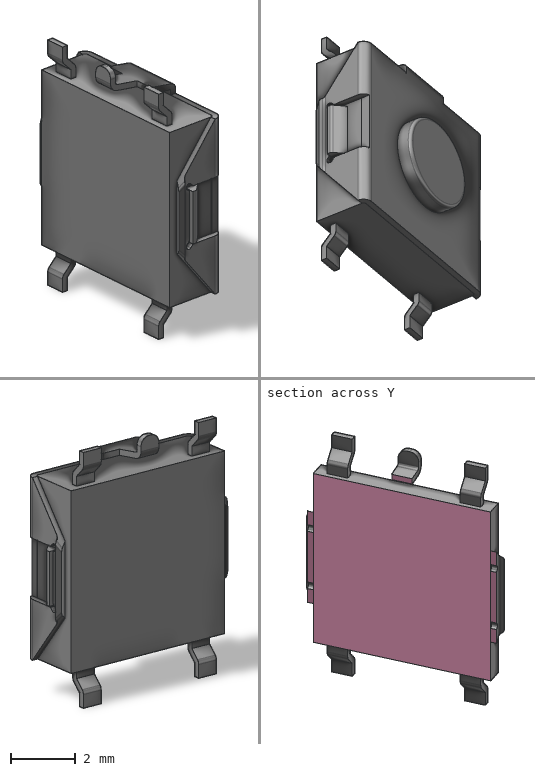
import cadquery as cq
import math


HOUSING_SIZE = 6.0
HOUSING_DEPTH = 1.8
HOUSING_HALF = HOUSING_SIZE / 2
STANDOFF = 0.1

SHEET = 0.2
BEND_RADIUS = 0.1
ROUND_BEND = (BEND_RADIUS, BEND_RADIUS + SHEET)
TIGHT_BEND = (0, SHEET)
FLARE_BEND = (BEND_RADIUS, 0)
COVER_FRONT = HOUSING_DEPTH + SHEET
TERMINAL_WIDTH = 0.7
TERMINAL_REACH = 4.2
FOOT_FRONT = SHEET - STANDOFF

OVERALL_HALF_WIDTH = 3.35
FLARE_ANGLE = 30.0
FLARE_BEND_Y = 0.3
FLAP_SHOULDER_Y = 1.7
FLAP_END_HALF_LENGTH = 1.075
FLAP_CORNER_RADIUS = 0.1

WINDOW_HALF_LENGTH = 1.0
WINDOW_BACK_Y = 0.65
RELIEF_RADIUS = 0.1
RELIEF_LENGTH = 0.5
RELIEF_ANGLE = 45.0
RELIEF_END_Y = 0.62
RELIEF_END_Z = 1.025

CATCH_FRONT_Y = 1.16
CATCH_CORNER_Y = 0.8
CATCH_HALF_LENGTH = 0.9
CATCH_CORNER_RADIUS = 0.13

TAB_WIDTH = 2.0
TAB_RISE = 0.35
TAB_SLOPE = 9.0
TAB_SHOULDER_Y = 0.99
STEM_TIP_RADIUS = 0.3

TERMINAL_X = 2.25
TERMINAL_FRONT = 0.445
TERMINAL_BEND_Z = 3.4

BUTTON_RADIUS = 1.495
BUTTON_HEIGHT = 0.5
BUTTON_EDGE_RADIUS = 0.1


def unit(start, end):
    """Unit vector from start to end."""
    length = math.dist(start, end)
    return ((end[0] - start[0]) / length, (end[1] - start[1]) / length)


def turn_angle(before, after):
    """Signed angle between two unit vectors; positive turns left."""
    cross = before[0] * after[1] - before[1] * after[0]
    dot = before[0] * after[0] + before[1] * after[1]
    return math.atan2(cross, dot)


def rounded_outline(plane, corners):
    """Closed outline through (point, radius) corners, each rounded by its radius."""
    points = [point for point, _ in corners]
    outline = None
    for index, (point, radius) in enumerate(corners):
        before = unit(points[index - 1], point)
        after = unit(point, points[(index + 1) % len(points)])
        angle = abs(turn_angle(before, after))
        setback = radius * math.tan(angle / 2)
        entry = (point[0] - setback * before[0], point[1] - setback * before[1])
        leave = (point[0] + setback * after[0], point[1] + setback * after[1])
        outline = outline.lineTo(*entry) if outline else cq.Workplane(plane).moveTo(*entry)
        if radius:
            inward = unit(before, after)
            sagitta = radius * (1 / math.cos(angle / 2) - 1)
            middle = (point[0] + sagitta * inward[0], point[1] + sagitta * inward[1])
            outline = outline.threePointArc(middle, leave)
    return outline.close()


def bent_strip(plane, path, bend_radii):
    """Outline of a bent sheet whose right-hand face follows the path.

    bend_radii holds the (inside, outside) radii of each bend between the path's two ends.
    """
    steps = [unit(start, end) for start, end in zip(path, path[1:])]
    right_side = []
    left_side = []
    for index, point in enumerate(path):
        before = steps[max(index - 1, 0)]
        after = steps[min(index, len(steps) - 1)]
        angle = turn_angle(before, after)
        miter = SHEET * math.tan(angle / 2)
        left_point = (
            point[0] - SHEET * before[1] - miter * before[0],
            point[1] + SHEET * before[0] - miter * before[1],
        )
        is_end = index in (0, len(path) - 1)
        inside, outside = (0, 0) if is_end else bend_radii[index - 1]
        right_side.append((point, outside if angle > 0 else inside))
        left_side.append((left_point, inside if angle > 0 else outside))
    return rounded_outline(plane, right_side + left_side[::-1])


def make_housing():
    """Block with rounded front edges and a ramped catch on each side."""
    block = rounded_outline("XY", [
        ((-HOUSING_HALF, 0), 0),
        ((HOUSING_HALF, 0), 0),
        ((HOUSING_HALF, HOUSING_DEPTH), BEND_RADIUS),
        ((-HOUSING_HALF, HOUSING_DEPTH), BEND_RADIUS),
    ]).extrude(HOUSING_HALF, both=True)
    catches = rounded_outline("XY", [
        ((OVERALL_HALF_WIDTH, WINDOW_BACK_Y), 0),
        ((OVERALL_HALF_WIDTH, CATCH_CORNER_Y), CATCH_CORNER_RADIUS),
        ((HOUSING_HALF, CATCH_FRONT_Y), 0),
        ((-HOUSING_HALF, CATCH_FRONT_Y), 0),
        ((-OVERALL_HALF_WIDTH, CATCH_CORNER_Y), CATCH_CORNER_RADIUS),
        ((-OVERALL_HALF_WIDTH, WINDOW_BACK_Y), 0),
    ]).extrude(CATCH_HALF_LENGTH, both=True)
    return block.union(catches)


def make_cover_shell():
    """Channel-shaped sheet over the housing, its side flaps tapered and flared outwards."""
    flare = math.radians(FLARE_ANGLE)
    tip_x = OVERALL_HALF_WIDTH - SHEET * math.sin(flare)
    tip_y = FLARE_BEND_Y - (tip_x - HOUSING_HALF) * math.tan(flare)
    inner_face = [
        (-tip_x, tip_y),
        (-HOUSING_HALF, FLARE_BEND_Y),
        (-HOUSING_HALF, HOUSING_DEPTH),
        (HOUSING_HALF, HOUSING_DEPTH),
        (HOUSING_HALF, FLARE_BEND_Y),
        (tip_x, tip_y),
    ]
    bend_radii = [FLARE_BEND, ROUND_BEND, ROUND_BEND, FLARE_BEND]
    channel = bent_strip("XY", inner_face, bend_radii).extrude(HOUSING_HALF, both=True)
    taper = cq.Workplane("YZ").polyline([
        (COVER_FRONT, -HOUSING_HALF),
        (COVER_FRONT, HOUSING_HALF),
        (FLAP_SHOULDER_Y, HOUSING_HALF),
        (tip_y, FLAP_END_HALF_LENGTH),
        (tip_y, -FLAP_END_HALF_LENGTH),
        (FLAP_SHOULDER_Y, -HOUSING_HALF),
    ]).close().extrude(OVERALL_HALF_WIDTH, both=True)
    shell = channel.intersect(taper)
    for side in (-1, 1):
        outwards = cq.Vector(side * math.cos(flare), -math.sin(flare), 0)
        end_face = cq.selectors.DirectionMinMaxSelector(outwards)
        shell = shell.faces(end_face).edges("not |Z").fillet(FLAP_CORNER_RADIUS)
    return shell


def make_flap_windows():
    """Cutter for the window of both flaps, leaving the sheet in front of the housing whole."""
    cutter = cq.Workplane("XY").box(
        2 * OVERALL_HALF_WIDTH,
        COVER_FRONT - WINDOW_BACK_Y,
        2 * WINDOW_HALF_LENGTH,
    ).translate((0, (COVER_FRONT + WINDOW_BACK_Y) / 2, 0))
    half_centre_distance = RELIEF_LENGTH / 2 - RELIEF_RADIUS
    middle_y = RELIEF_END_Y + half_centre_distance * math.cos(math.radians(RELIEF_ANGLE))
    middle_z = RELIEF_END_Z - half_centre_distance * math.sin(math.radians(RELIEF_ANGLE))
    for side in (-1, 1):
        relief = (
            cq.Workplane("YZ")
            .center(middle_y, side * middle_z)
            .slot2D(RELIEF_LENGTH, 2 * RELIEF_RADIUS, -RELIEF_ANGLE * side)
            .extrude(OVERALL_HALF_WIDTH, both=True)
        )
        cutter = cutter.union(relief)
    core = cq.Workplane("XY").box(HOUSING_SIZE, 2 * COVER_FRONT, HOUSING_SIZE)
    return cutter.cut(core)


def make_ground_tab():
    """Tab bent back from the +Z edge of the cover, narrowing to a stem with a round-cornered foot."""
    bend_z = HOUSING_HALF + TAB_RISE
    foot_z = bend_z + (COVER_FRONT - FOOT_FRONT) * math.tan(math.radians(TAB_SLOPE))
    front_face = [
        (COVER_FRONT, HOUSING_HALF),
        (COVER_FRONT, bend_z),
        (FOOT_FRONT, foot_z),
        (FOOT_FRONT, TERMINAL_REACH),
    ]
    bend_radii = [TIGHT_BEND, ROUND_BEND]
    stem = bent_strip("YZ", front_face, bend_radii).extrude(TERMINAL_WIDTH / 2, both=True)
    stem = stem.faces(">Z").edges("|Y").fillet(STEM_TIP_RADIUS)
    wide_end = cq.Workplane("XY").box(
        TAB_WIDTH,
        COVER_FRONT - TAB_SHOULDER_Y,
        2 * TERMINAL_REACH,
    ).translate((0, (COVER_FRONT + TAB_SHOULDER_Y) / 2, 0))
    full_strip = bent_strip("YZ", front_face, bend_radii).extrude(TAB_WIDTH / 2, both=True)
    return stem.union(full_strip.intersect(wide_end))


def make_cover():
    """Sheet-metal cover with its flap windows and ground tab."""
    return make_cover_shell().cut(make_flap_windows()).union(make_ground_tab())


def make_button():
    """Round button standing on the cover, its front edge rounded."""
    button = cq.Workplane("XZ", origin=(0, COVER_FRONT, 0)).circle(BUTTON_RADIUS).extrude(-BUTTON_HEIGHT)
    return button.faces(">Y").edges().fillet(BUTTON_EDGE_RADIUS)


def make_terminal(x, z_side):
    """Terminal stepped back by two 45-degree bends, on the +Z (1) or -Z (-1) wall of the housing."""
    front_face = [
        (TERMINAL_FRONT, HOUSING_HALF),
        (TERMINAL_FRONT, TERMINAL_BEND_Z),
        (FOOT_FRONT, TERMINAL_BEND_Z + TERMINAL_FRONT - FOOT_FRONT),
        (FOOT_FRONT, TERMINAL_REACH),
    ]
    terminal = bent_strip("YZ", front_face, [TIGHT_BEND, TIGHT_BEND]).extrude(TERMINAL_WIDTH / 2, both=True)
    if z_side < 0:
        terminal = terminal.mirror("XY")
    return terminal.translate((x, 0, 0))


housing = make_housing()
cover = make_cover()
button = make_button()
terminals = [
    make_terminal(x, z_side)
    for x in (-TERMINAL_X, TERMINAL_X)
    for z_side in (-1, 1)
]

result = cq.Compound.makeCompound([
    housing.val(),
    cover.val(),
    button.val(),
    *[terminal.val() for terminal in terminals],
])